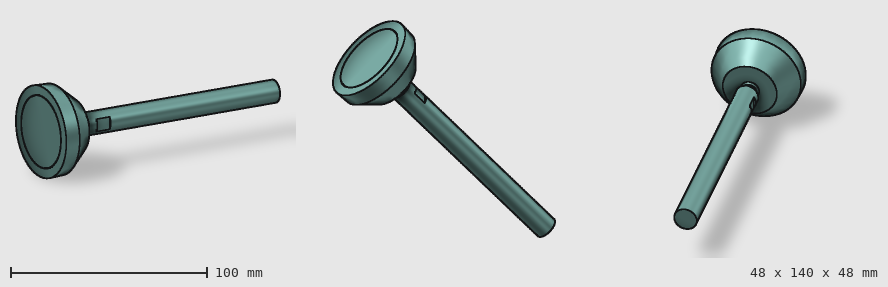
import cadquery as cq
import math

total_length = 140.0

foot_diameter = 48.0
foot_top_diameter = 28.5
foot_height = 20.0
rim_height = 8.3
shoulder_diameter = 47.3
groove_outer_diameter = 38.0
groove_inner_diameter = 37.5
groove_depth = 1.0

rod_diameter = 12.0
rod_start = 25.2
neck_diameter = 7.8
ball_diameter = 12.0
exposed_ball_height = 1.1
flat_start = 30.1
flat_length = 8.0
flat_spacing = 10.1

ball_radius = ball_diameter / 2
neck_radius = neck_diameter / 2
neck_height_on_ball = math.sqrt(ball_radius**2 - neck_radius**2)
ball_center = foot_height + exposed_ball_height - neck_height_on_ball


def cylinder(diameter, start, end):
    """Cylinder about the Y axis between two Y positions."""
    plane = cq.Workplane("XZ", origin=(0, start, 0))
    return plane.circle(diameter / 2).extrude(start - end)


def make_ball():
    return cq.Workplane("XY").sphere(ball_radius).translate((0, ball_center, 0))


def make_foot():
    """Conical foot with a slightly tapered rim, a ball socket and a fine ring groove in its base."""
    foot = (
        cq.Workplane("XY")
        .moveTo(0, 0)
        .lineTo(foot_diameter / 2, 0)
        .lineTo(shoulder_diameter / 2, rim_height)
        .lineTo(foot_top_diameter / 2, foot_height)
        .lineTo(0, foot_height)
        .close()
        .revolve(360, (0, 0, 0), (0, 1, 0))
    )
    groove = cylinder(groove_outer_diameter, 0, groove_depth).cut(
        cylinder(groove_inner_diameter, 0, groove_depth)
    )
    return foot.cut(groove).cut(make_ball())


def make_ball_stud():
    """Rod with two wrench flats, a neck and a ball end."""
    rod = cylinder(rod_diameter, rod_start, total_length)
    flat_depth = (rod_diameter - flat_spacing) / 2
    for side in (-1, 1):
        flat_cutter = cq.Workplane("XY").box(flat_depth, flat_length, rod_diameter).translate(
            (side * (flat_spacing + flat_depth) / 2, flat_start + flat_length / 2, 0)
        )
        rod = rod.cut(flat_cutter)
    neck = cylinder(neck_diameter, ball_center, rod_start)
    return rod.union(neck).union(make_ball())


foot = make_foot()
ball_stud = make_ball_stud()
result = cq.Compound.makeCompound([foot.val(), ball_stud.val()])